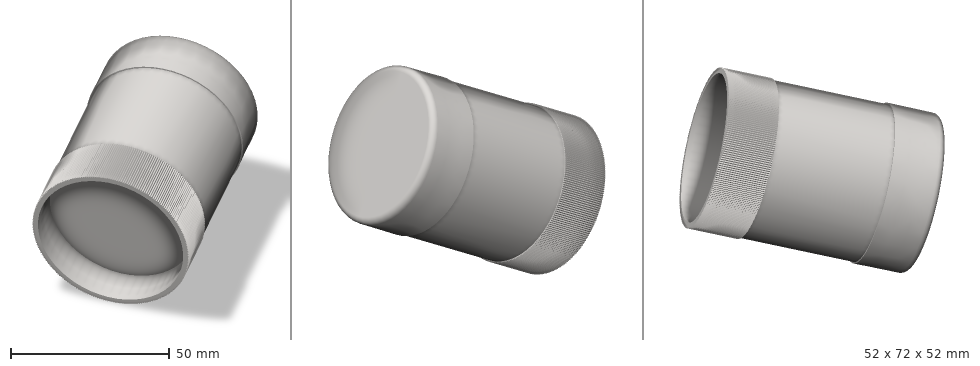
import cadquery as cq
import math

length = 72.0
grip_diameter = 52.0
body_diameter = 51.0

cap_length = 17.0
cap_rim_diameter = grip_diameter
cap_crown_diameter = 51.7
cap_fillet = 2.0

grip_length = 16.6
tooth_count = 240
valley_diameter = 51.3
first_valley_angle = -0.25

recess_diameter = 48.25
recess_depth = 12.0

front_y = -length / 2
back_y = length / 2


def front_plane():
    """Plane of the front face, with its normal pointing toward the back end."""
    return cq.Workplane(cq.Plane(origin=(0, front_y, 0), xDir=(1, 0, 0), normal=(0, 1, 0)))


def make_body():
    """Plain cylinder between the grip and the cap."""
    stretch = length - cap_length - grip_length
    return front_plane().workplane(offset=grip_length).circle(body_diameter / 2).extrude(stretch)


def make_cap():
    """Slightly tapered cap with a rounded crown edge."""
    rim_y = back_y - cap_length
    profile = [
        (0, rim_y),
        (cap_rim_diameter / 2, rim_y),
        (cap_crown_diameter / 2, back_y),
        (0, back_y),
    ]
    cap = cq.Workplane("XY").polyline(profile).close().revolve(360, (0, 0, 0), (0, 1, 0))
    return cap.faces(">Y").edges().fillet(cap_fillet)


def make_grip():
    """Knurled ring of straight, symmetric V teeth."""
    half_pitch = math.pi / tooth_count
    first_valley = math.radians(first_valley_angle)
    outline = []
    for step in range(2 * tooth_count):
        is_valley = step % 2 == 0
        radius = (valley_diameter if is_valley else grip_diameter) / 2
        angle = first_valley + step * half_pitch
        outline.append((radius * math.cos(angle), radius * math.sin(angle)))
    return front_plane().polyline(outline).close().extrude(grip_length)


def make_recess():
    """Round blind pocket inside the grip."""
    return front_plane().circle(recess_diameter / 2).extrude(recess_depth)


result = make_body().union(make_cap()).union(make_grip()).cut(make_recess())